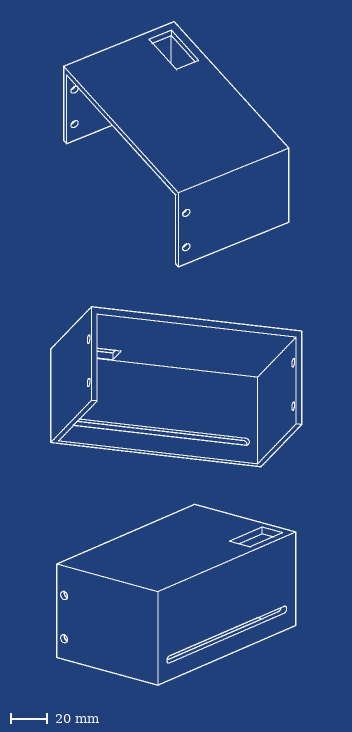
import cadquery as cq

width = 120.0
depth = 70.0
height = 54.0

side_wall = 3.2
top_wall = 4.0
back_wall = 4.0

window_width = 28.5
window_depth = 14.2
window_side_margin = 5.3
window_back_margin = 4.9

slot_length = 104.0
slot_height = 4.0
slot_center_height = 12.0

hole_diameter = 4.5
hole_front_margin = 5.0
hole_heights = (12.0, 37.0)


def corner_box(size_x, size_y, size_z, x, y, z):
    """Box whose lowest corner is at (x, y, z)."""
    return cq.Workplane("XY").box(size_x, size_y, size_z, centered=False).translate((x, y, z))


def make_shell():
    """Box that is open at the front and at the bottom."""
    outer = corner_box(width, depth, height, 0, 0, 0)
    cavity = corner_box(
        width - 2 * side_wall, depth - back_wall, height - top_wall, side_wall, 0, 0
    )
    return outer.cut(cavity)


def make_window():
    window_y = depth - window_back_margin - window_depth
    return corner_box(
        window_width, window_depth, top_wall, window_side_margin, window_y, height - top_wall
    )


def make_slot():
    return (
        cq.Workplane("XZ", origin=(width / 2, depth, slot_center_height))
        .slot2D(slot_length, slot_height)
        .extrude(back_wall)
    )


def make_side_holes():
    """Cylinders along X that pass through both side walls."""
    hole_places = [(hole_front_margin, hole_height) for hole_height in hole_heights]
    return cq.Workplane("YZ").pushPoints(hole_places).circle(hole_diameter / 2).extrude(width)


result = make_shell().cut(make_window()).cut(make_slot()).cut(make_side_holes())